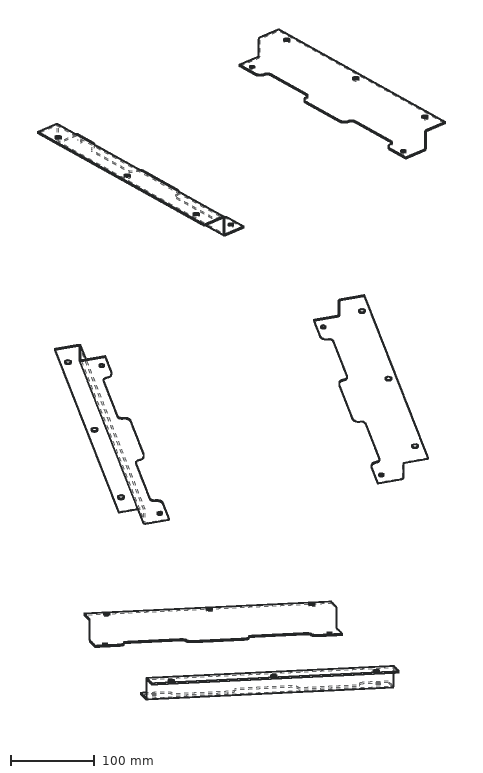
import cadquery as cq

LENGTH = 301.0
SPAN = 381.0
HEIGHT = 27.5
BRACKET_DEPTH = 62.0

THICKNESS = 2.0
INNER_BEND = 1.0
OUTER_BEND = INNER_BEND + THICKNESS

UPPER_HOLE_DIAMETER = 7.2
UPPER_HOLE_SPACING = 125.0
UPPER_HOLE_INSET = 9.5
LOWER_HOLE_DIAMETER = 5.7
LOWER_HOLE_X = 136.8
LOWER_HOLE_INSET = 8.0

NOTCH_WIDTH = 76.0
NOTCH_CENTER_X = 76.2
NOTCH_MOUTH_RADIUS = 7.5
NOTCH_ROOT_RADIUS = 5.5
NOTCH_DEPTH = NOTCH_MOUTH_RADIUS + NOTCH_ROOT_RADIUS

OUTER_Y = SPAN / 2
INNER_Y = OUTER_Y - BRACKET_DEPTH
WEB_Y = (OUTER_Y + INNER_Y) / 2
WEB_OUTER = WEB_Y + THICKNESS / 2
WEB_INNER = WEB_Y - THICKNESS / 2
TOP_Z = HEIGHT / 2
BOTTOM_Z = -HEIGHT / 2


def folded_sheet():
    """Z-shaped sheet: lower flange inward, upright web, upper flange outward."""
    upper_underside = TOP_Z - THICKNESS
    lower_topside = BOTTOM_Z + THICKNESS
    return (
        cq.Workplane("YZ", origin=(-LENGTH / 2, 0, 0))
        .moveTo(OUTER_Y, TOP_Z)
        .lineTo(WEB_INNER + OUTER_BEND, TOP_Z)
        .radiusArc((WEB_INNER, TOP_Z - OUTER_BEND), -OUTER_BEND)
        .lineTo(WEB_INNER, lower_topside + INNER_BEND)
        .radiusArc((WEB_INNER - INNER_BEND, lower_topside), INNER_BEND)
        .lineTo(INNER_Y, lower_topside)
        .lineTo(INNER_Y, BOTTOM_Z)
        .lineTo(WEB_OUTER - OUTER_BEND, BOTTOM_Z)
        .radiusArc((WEB_OUTER, BOTTOM_Z + OUTER_BEND), -OUTER_BEND)
        .lineTo(WEB_OUTER, upper_underside - INNER_BEND)
        .radiusArc((WEB_OUTER + INNER_BEND, upper_underside), INNER_BEND)
        .lineTo(OUTER_Y, upper_underside)
        .close()
        .extrude(LENGTH)
    )


def notch_cutter(center_x):
    """Notch with rounded root corners and a mouth that flares to the flange edge."""
    half_width = NOTCH_WIDTH / 2
    half_mouth = half_width + NOTCH_MOUTH_RADIUS
    half_root = half_width - NOTCH_ROOT_RADIUS
    mouth_y = NOTCH_MOUTH_RADIUS
    return (
        cq.Workplane("XY", origin=(center_x, INNER_Y, BOTTOM_Z))
        .moveTo(-half_mouth, 0)
        .radiusArc((-half_width, mouth_y), -NOTCH_MOUTH_RADIUS)
        .radiusArc((-half_root, NOTCH_DEPTH), NOTCH_ROOT_RADIUS)
        .lineTo(half_root, NOTCH_DEPTH)
        .radiusArc((half_width, mouth_y), NOTCH_ROOT_RADIUS)
        .radiusArc((half_mouth, 0), -NOTCH_MOUTH_RADIUS)
        .close()
        .extrude(THICKNESS)
    )


def hole_cutters(diameter, x_places, y):
    """Vertical cylinders through the full height of the bracket."""
    return (
        cq.Workplane("XY", origin=(0, 0, BOTTOM_Z))
        .pushPoints([(x, y) for x in x_places])
        .circle(diameter / 2)
        .extrude(HEIGHT)
    )


def make_bracket(turn):
    """One bracket, turned about the Z axis by the given angle in degrees."""
    bracket = folded_sheet()
    for side in (-1, 1):
        bracket = bracket.cut(notch_cutter(side * NOTCH_CENTER_X))
    upper_x = (-UPPER_HOLE_SPACING, 0, UPPER_HOLE_SPACING)
    bracket = bracket.cut(hole_cutters(UPPER_HOLE_DIAMETER, upper_x, OUTER_Y - UPPER_HOLE_INSET))
    lower_x = (-LOWER_HOLE_X, LOWER_HOLE_X)
    bracket = bracket.cut(hole_cutters(LOWER_HOLE_DIAMETER, lower_x, INNER_Y + LOWER_HOLE_INSET))
    return bracket.rotate((0, 0, 0), (0, 0, 1), turn)


brackets = [make_bracket(turn) for turn in (0, 180)]

result = cq.Compound.makeCompound([bracket.solids().val() for bracket in brackets])